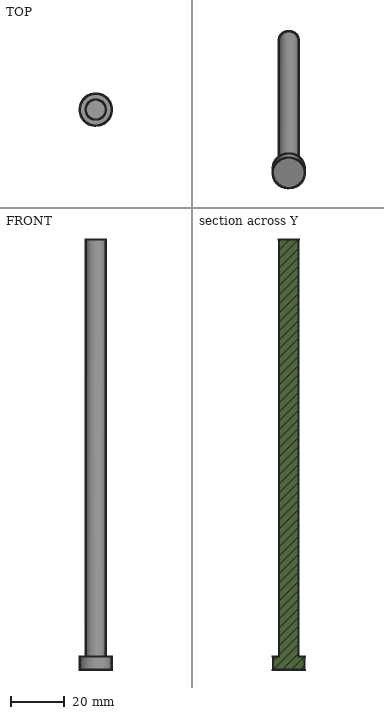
import cadquery as cq

overall_length = 160.0
head_diameter = 12.0
head_height = 5.0
shaft_diameter = 7.5


def make_cylinder(diameter, height):
    """Upright cylinder standing on the XY plane, centred on the Z axis."""
    return cq.Workplane("XY").circle(diameter / 2).extrude(height)


head = make_cylinder(head_diameter, head_height)
shaft = make_cylinder(shaft_diameter, overall_length)

result = head.union(shaft)